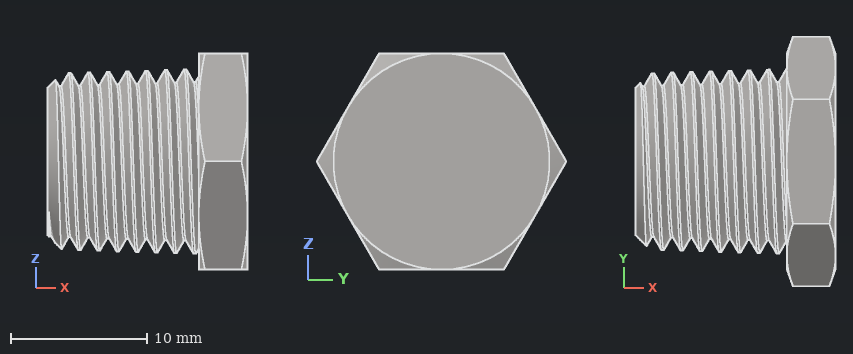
import cadquery as cq
import math

TOTAL_LENGTH = 14.68
HEAD_THICKNESS = 3.57
ACROSS_CORNERS = 18.33
HEAD_CHAMFER_ANGLE = 20.0

PITCH = 1.41
TAPER = 1 / 32
ROOT_RADIUS_AT_NOSE = 5.52
THREAD_HEIGHT = 0.93
CREST_FLAT = 0.16
FLANK_ANGLE = 30.0
RIDGE_START = -1.89
RIDGE_SINK = 0.1
ROD_START = -3.67
ROD_END = 16.5

NOSE_RADIUS = 5.4
BORE_DIAMETER = 6.6

shank_length = TOTAL_LENGTH - HEAD_THICKNESS
bore_depth = shank_length
corner_radius = ACROSS_CORNERS / 2
flat_radius = corner_radius * math.cos(math.radians(30))


def root_radius_at(x):
    """Radius of the root cone at a given X."""
    return ROOT_RADIUS_AT_NOSE + TAPER * x


def make_head():
    """Hexagonal prism with its corners turned off by a cone at both ends."""
    drop = (corner_radius - flat_radius) * math.tan(math.radians(HEAD_CHAMFER_ANGLE))
    prism = (
        cq.Workplane("YZ", origin=(shank_length, 0, 0))
        .polygon(6, ACROSS_CORNERS)
        .extrude(HEAD_THICKNESS)
    )
    turned_blank = (
        cq.Workplane("XY")
        .moveTo(shank_length, 0)
        .lineTo(shank_length, flat_radius)
        .lineTo(shank_length + drop, corner_radius)
        .lineTo(TOTAL_LENGTH - drop, corner_radius)
        .lineTo(TOTAL_LENGTH, flat_radius)
        .lineTo(TOTAL_LENGTH, 0)
        .close()
        .revolve(360, (0, 0, 0), (1, 0, 0))
    )
    return prism.intersect(turned_blank)


def make_threaded_rod():
    """Tapered rod with a right-handed thread, longer than the shank at both ends."""
    root_cone = (
        cq.Workplane("XY")
        .moveTo(ROD_START, 0)
        .lineTo(ROD_START, root_radius_at(ROD_START))
        .lineTo(ROD_END, root_radius_at(ROD_END))
        .lineTo(ROD_END, 0)
        .close()
        .revolve(360, (0, 0, 0), (1, 0, 0))
    )
    turns = math.ceil((shank_length - RIDGE_START) / PITCH + 0.5)
    helix_radius = root_radius_at(RIDGE_START)
    foot_radius = helix_radius - RIDGE_SINK
    crest_radius = helix_radius + THREAD_HEIGHT
    half_crest = CREST_FLAT / 2
    half_foot = half_crest + (THREAD_HEIGHT + RIDGE_SINK) * math.tan(math.radians(FLANK_ANGLE))
    helix = cq.Wire.makeHelix(
        PITCH, turns * PITCH, helix_radius, angle=math.degrees(math.atan(TAPER))
    )
    ridge = (
        cq.Workplane("XZ")
        .moveTo(foot_radius, half_foot)
        .lineTo(crest_radius, half_crest)
        .lineTo(crest_radius, -half_crest)
        .lineTo(foot_radius, -half_foot)
        .close()
        .sweep(cq.Workplane(obj=helix), isFrenet=True)
        .rotate((0, 0, 0), (0, 1, 0), 90)
        .translate((RIDGE_START, 0, 0))
    )
    return root_cone.union(ridge)


def make_shank_envelope():
    """Cylinder clear of the thread, coned at 45 degrees to form the nose chamfer."""
    return (
        cq.Workplane("XY")
        .lineTo(0, NOSE_RADIUS)
        .lineTo(flat_radius - NOSE_RADIUS, flat_radius)
        .lineTo(shank_length, flat_radius)
        .lineTo(shank_length, 0)
        .close()
        .revolve(360, (0, 0, 0), (1, 0, 0))
    )


threaded_shank = make_threaded_rod().intersect(make_shank_envelope())
bore = cq.Workplane("YZ").circle(BORE_DIAMETER / 2).extrude(bore_depth)
result = threaded_shank.union(make_head()).cut(bore)